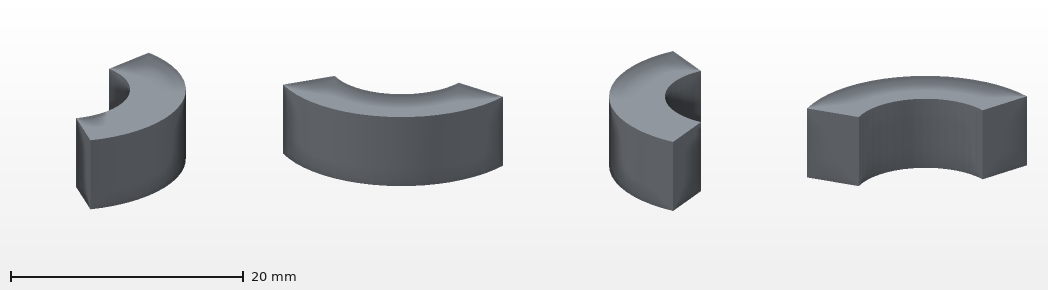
import cadquery as cq
import math

outer_radius = 11.0
inner_radius = 6.2
height = 6.5
sweep_angle = 120.0


def point_on_circle(radius, angle):
    """Point at the given angle (degrees from +X) on a circle about the origin."""
    return (
        radius * math.cos(math.radians(angle)),
        radius * math.sin(math.radians(angle)),
    )


def ring_segment():
    """Flat-ended arc of a rectangular-section ring, with radial end faces."""
    half_angle = sweep_angle / 2
    return (
        cq.Workplane("XY")
        .moveTo(*point_on_circle(inner_radius, -half_angle))
        .lineTo(*point_on_circle(outer_radius, -half_angle))
        .threePointArc((outer_radius, 0), point_on_circle(outer_radius, half_angle))
        .lineTo(*point_on_circle(inner_radius, half_angle))
        .threePointArc((inner_radius, 0), point_on_circle(inner_radius, -half_angle))
        .close()
        .extrude(height)
    )


result = ring_segment()